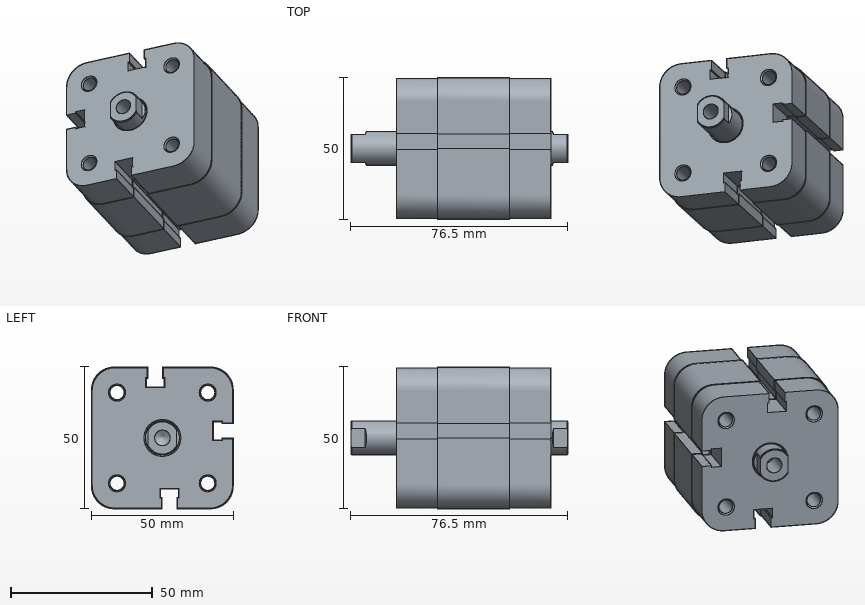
import cadquery as cq
import math

cap_length = 14.5
profile_length = 25.5
profile_width = 50.0
cap_inset = 0.25
corner_radius = 8.0
housing_length = 2 * cap_length + profile_length

screw_spacing = 32.0
screw_hole_diameter = 5.0
hole_chamfer = 0.5

slot_offset = 2.5
slot_mouth_width = 5.2
slot_inner_width = 6.3
slot_lip_depth = 4.0
slot_depth = 7.0
slot_angles = (0, 90, 180)

rod_diameter = 12.0
rod_front_reach = 16.0
rod_back_reach = 6.0
rod_chamfer = 0.3
flat_width = 10.0
flat_length = 5.0
shoulder_run = 0.5
thread_hole_diameter = 5.5
thread_hole_depth = 12.0
drill_tip_angle = 118.0

housing_middle = housing_length / 2
rod_start = -rod_front_reach
rod_end = housing_length + rod_back_reach


def cylinder_x(start, length, diameter):
    """Cylinder on the X axis."""
    return cq.Workplane("YZ", origin=(start, 0, 0)).circle(diameter / 2).extrude(length)


def slot_cutter(start, length, inset):
    """T-shaped sensor slot in the top side, with its walls and floor moved out by the inset."""
    mouth = slot_mouth_width / 2 + inset
    inner = slot_inner_width / 2 + inset
    top = profile_width / 2
    lip = top - slot_lip_depth + inset
    floor = top - slot_depth - inset
    half_outline = [(mouth, top), (mouth, lip), (inner, lip), (inner, floor)]
    mirrored_outline = [(-y, z) for y, z in reversed(half_outline)]
    outline = [(slot_offset + y, z) for y, z in half_outline + mirrored_outline]
    return cq.Workplane("YZ", origin=(start, 0, 0)).polyline(outline).close().extrude(length)


def housing_section(start, length, inset):
    """Rounded square block with sensor slots, screw holes and the rod bore."""
    width = profile_width - 2 * inset
    block = (
        cq.Workplane("YZ", origin=(start, 0, 0))
        .rect(width, width)
        .extrude(length)
        .edges("|X")
        .fillet(corner_radius)
    )
    slot = slot_cutter(start, length, inset)
    for angle in slot_angles:
        block = block.cut(slot.rotate((0, 0, 0), (1, 0, 0), angle))
    screw_holes = (
        cq.Workplane("YZ", origin=(start, 0, 0))
        .rect(screw_spacing, screw_spacing, forConstruction=True)
        .vertices()
        .circle(screw_hole_diameter / 2)
        .extrude(length)
    )
    return block.cut(screw_holes).cut(cylinder_x(start, length, rod_diameter))


def make_front_cap():
    """End cap with every hole chamfered on its outer face."""
    cap = housing_section(0, cap_length, cap_inset)
    hole_rims = cap.faces("<X").val().innerWires()
    return cap.newObject(hole_rims).edges().chamfer(hole_chamfer)


def thread_hole_cutter():
    """Cutter for a blind hole with a drill-point bottom, in the front end of the rod."""
    radius = thread_hole_diameter / 2
    tip_length = radius / math.tan(math.radians(drill_tip_angle / 2))
    hole_bottom = rod_start + thread_hole_depth
    return (
        cq.Workplane("XY")
        .moveTo(rod_start, 0)
        .lineTo(rod_start, radius)
        .lineTo(hole_bottom, radius)
        .lineTo(hole_bottom + tip_length, 0)
        .close()
        .revolve(360, (0, 0, 0), (1, 0, 0))
    )


def wrench_flat_cutter():
    """Material outside the two wrench flats at the front end of the rod."""
    radius = rod_diameter / 2
    shoulder = rod_start + flat_length
    flat = (
        cq.Workplane("XY", origin=(0, 0, -radius))
        .moveTo(rod_start, flat_width / 2)
        .lineTo(shoulder, flat_width / 2)
        .lineTo(shoulder + shoulder_run, radius)
        .lineTo(rod_start, radius)
        .close()
        .extrude(rod_diameter)
    )
    return flat.union(flat.mirror("XZ"))


def make_rod():
    """Round rod whose two ends are alike: chamfer, wrench flats and threaded hole."""
    length = rod_end - rod_start
    rod = cylinder_x(rod_start, length, rod_diameter).faces("<X or >X").chamfer(rod_chamfer)
    end_cut = thread_hole_cutter().union(wrench_flat_cutter())
    rod_middle = (rod_start + rod_end) / 2
    return rod.cut(end_cut).cut(end_cut.mirror("YZ", (rod_middle, 0, 0)))


front_cap = make_front_cap()
profile = housing_section(cap_length, profile_length, 0)
back_cap = front_cap.mirror("YZ", (housing_middle, 0, 0))
rod = make_rod()

result = cq.Compound.makeCompound([front_cap.val(), profile.val(), back_cap.val(), rod.val()])